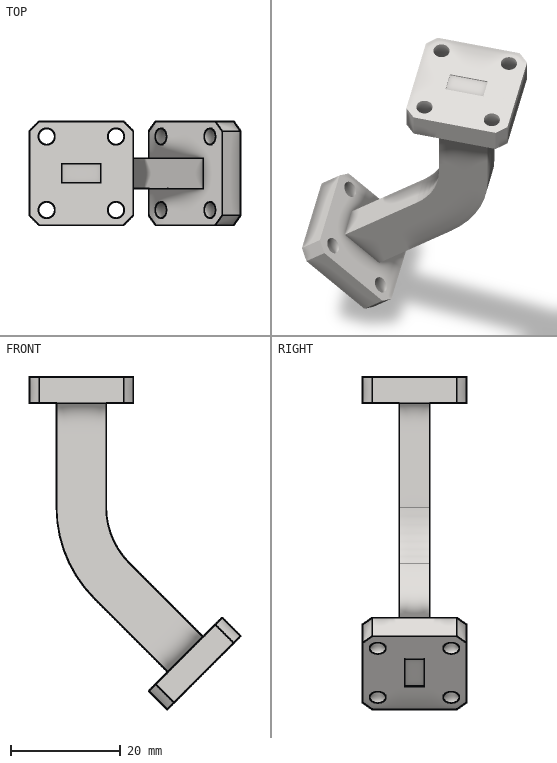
import cadquery as cq
import math

flange_side = 19.05
flange_thickness = 4.8
corner_chamfer = 1.8

hole_diameter = 2.95
hole_spacing_wide = 12.7
hole_spacing_narrow = 13.46

window_width = 7.11
window_height = 3.56
window_depth = 0.25
wall_thickness = 1.015
tube_width = window_width + 2 * wall_thickness
tube_height = window_height + 2 * wall_thickness

leg_length = 23.86
bend_radius = 19.05
bend_angle = 45.0

bend_sine = math.sin(math.radians(bend_angle))
bend_cosine = math.cos(math.radians(bend_angle))
bend_end_x = bend_radius * (1 - bend_cosine)
bend_end_z = -leg_length - bend_radius * bend_sine
lower_face_x = bend_end_x + leg_length * bend_sine
lower_face_z = bend_end_z - leg_length * bend_cosine


def make_tube_leg(start_plane):
    """Straight tube reaching from the start plane to the bend, along the plane's inward direction."""
    return cq.Workplane(start_plane).rect(tube_width, tube_height).extrude(-leg_length)


def make_bend():
    """Curved tube turning from straight down towards +X."""
    return (
        cq.Workplane("XY", origin=(0, 0, -leg_length))
        .rect(tube_width, tube_height)
        .revolve(bend_angle, (bend_radius, 0, 0), (bend_radius, -1, 0))
    )


def make_flange(face_plane):
    """Flange blank behind its mating face, with the four bolt holes."""
    blank = cq.Workplane(face_plane).rect(flange_side, flange_side).extrude(-flange_thickness)
    blank = blank.edges(cq.selectors.ParallelDirSelector(face_plane.zDir)).chamfer(corner_chamfer)
    holes = (
        cq.Workplane(face_plane)
        .rect(hole_spacing_wide, hole_spacing_narrow, forConstruction=True)
        .vertices()
        .circle(hole_diameter / 2)
        .extrude(-flange_thickness)
    )
    return blank.cut(holes)


def make_window(face_plane):
    """Shallow rectangular recess marking the waveguide opening."""
    return cq.Workplane(face_plane).rect(window_width, window_height).extrude(-window_depth)


upper_face = cq.Plane(origin=(0, 0, 0), xDir=(1, 0, 0), normal=(0, 0, 1))
lower_face = cq.Plane(
    origin=(lower_face_x, 0, lower_face_z),
    xDir=(bend_cosine, 0, bend_sine),
    normal=(bend_sine, 0, -bend_cosine),
)

result = make_bend()
for face in (upper_face, lower_face):
    result = result.union(make_tube_leg(face)).union(make_flange(face))
for face in (upper_face, lower_face):
    result = result.cut(make_window(face))